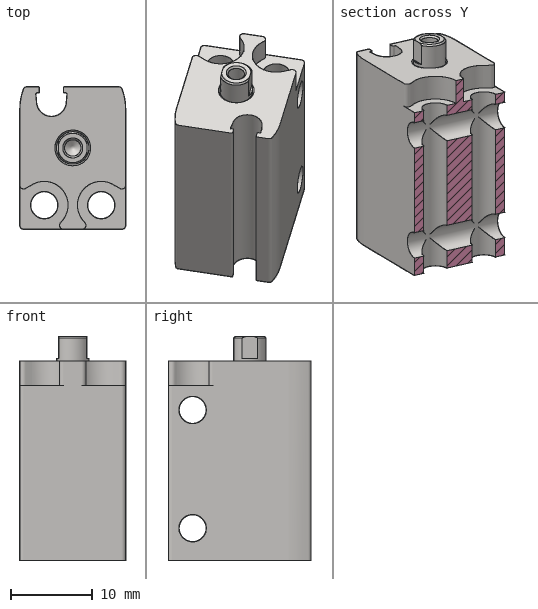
import cadquery as cq
import math

width = 13.0
depth = 17.5
housing_height = 24.5
total_height = 27.5
back_y = 7.5
half_width = width / 2
front_y = back_y - depth
front_corner_radius = 0.5

flank_radius = 7.0
flank_length = 2.75
rear_corner_radius = 0.45

mount_diameter = 3.3
mount_x = 3.5
mount_y = -7.0
cross_hole_heights = (4.0, 18.48)
pocket_radius = 2.92
pocket_depth = 3.0
pocket_edge_radius = 0.5
pocket_flare_angle = math.radians(30)
pocket_neck_angle = math.radians(40)

slot_x = -2.6
slot_opening = 2.95
slot_lip = 0.77
slot_undercut = 3.82
slot_radius = 1.82
slot_floor_y = 3.88
slot_corner_radius = 0.15

rod_diameter = 4.0
rod_flat_width = 3.5
rod_flat_base = housing_height + 0.3
rod_chamfer = 0.2
rod_insertion = 4.0
rod_bottom = housing_height - rod_insertion
bore_mouth_diameter = 4.37
bore_chamfer = (bore_mouth_diameter - rod_diameter) / 2
thread_diameter = 2.0
thread_mouth_diameter = 2.45
thread_depth = 4.0
thread_chamfer = (thread_mouth_diameter - thread_diameter) / 2
drill_half_angle = math.radians(59)


def on_circle(center, radius, angle):
    """Point on a circle at an angle in radians from +X."""
    return (center[0] + radius * math.cos(angle), center[1] + radius * math.sin(angle))


def make_block():
    flank_start = back_y - flank_length
    flank_center = (half_width - flank_radius, flank_start)
    flank_sweep = math.asin(flank_length / flank_radius)
    end_x, end_y = on_circle(flank_center, flank_radius, flank_sweep)
    mid_x, mid_y = on_circle(flank_center, flank_radius, flank_sweep / 2)
    block = (
        cq.Workplane("XY")
        .moveTo(-half_width, front_y)
        .lineTo(half_width, front_y)
        .lineTo(half_width, flank_start)
        .threePointArc((mid_x, mid_y), (end_x, end_y))
        .lineTo(-end_x, end_y)
        .threePointArc((-mid_x, mid_y), (-half_width, flank_start))
        .close()
        .extrude(housing_height)
    )
    block = block.edges("|Z and <Y").fillet(front_corner_radius)
    return block.edges("|Z and >Y").fillet(rear_corner_radius)


def make_left_pocket():
    """Round pocket, open to the left and front, with convex rounded ends."""
    center = (-mount_x, mount_y)
    edge = pocket_edge_radius

    wall_angle = math.pi / 2 + pocket_flare_angle
    flare_start = on_circle(center, pocket_radius, wall_angle)
    side_x = -half_width + edge
    flare_end_x = side_x + edge * math.sin(pocket_flare_angle)
    flare_end_y = flare_start[1] - (flare_start[0] - flare_end_x) * math.tan(pocket_flare_angle)
    side_center = (side_x, flare_end_y + edge * math.cos(pocket_flare_angle))
    side_mid = on_circle(side_center, edge, (math.pi + wall_angle + math.pi) / 2)

    front_center_y = front_y + edge
    wall_end = on_circle(center, pocket_radius, -pocket_neck_angle)
    wall_mid = on_circle(center, pocket_radius, (wall_angle - pocket_neck_angle) / 2)
    neck_end_y = front_center_y + edge * math.sin(pocket_neck_angle)
    neck_end_x = wall_end[0] - (wall_end[1] - neck_end_y) * math.tan(pocket_neck_angle)
    front_center = (neck_end_x + edge * math.cos(pocket_neck_angle), front_center_y)
    front_mid = on_circle(front_center, edge, (math.pi - pocket_neck_angle + 3 * math.pi / 2) / 2)
    return (
        cq.Workplane("XY", origin=(0, 0, housing_height - pocket_depth))
        .moveTo(-half_width, front_y)
        .lineTo(-half_width, side_center[1])
        .threePointArc(side_mid, (flare_end_x, flare_end_y))
        .lineTo(*flare_start)
        .threePointArc(wall_mid, wall_end)
        .lineTo(neck_end_x, neck_end_y)
        .threePointArc(front_mid, (front_center[0], front_y))
        .close()
        .extrude(pocket_depth)
    )


def make_slot():
    """Full-height slot with a round floor and a narrower opening."""
    center_y = slot_floor_y + slot_radius
    lip_y = back_y - slot_lip
    undercut = (
        cq.Workplane("XY")
        .moveTo(slot_x - slot_undercut / 2, lip_y)
        .lineTo(slot_x - slot_radius, center_y)
        .threePointArc((slot_x, slot_floor_y), (slot_x + slot_radius, center_y))
        .lineTo(slot_x + slot_undercut / 2, lip_y)
        .close()
        .extrude(housing_height)
    )
    opening = (
        cq.Workplane("XY")
        .center(slot_x, (center_y + back_y) / 2)
        .rect(slot_opening, back_y - center_y)
        .extrude(housing_height)
    )
    return undercut.union(opening)


def cut_slot(block):
    """Cut the sensor slot and round the corners of its opening, lips and undercut."""
    lip_corners = cq.selectors.BoxSelector(
        (slot_x - slot_radius - slot_lip, back_y - 1.5 * slot_lip, 0),
        (slot_x + slot_radius + slot_lip, back_y + slot_lip, housing_height),
    )
    slotted = block.cut(make_slot())
    return slotted.edges("|Z").edges(lip_corners).fillet(slot_corner_radius)


def make_mount_holes():
    vertical = (
        cq.Workplane("XY")
        .pushPoints([(-mount_x, mount_y), (mount_x, mount_y)])
        .circle(mount_diameter / 2)
        .extrude(housing_height)
    )
    cross = (
        cq.Workplane("YZ", origin=(-half_width, 0, 0))
        .pushPoints([(mount_y, height) for height in cross_hole_heights])
        .circle(mount_diameter / 2)
        .extrude(width)
    )
    return vertical.union(cross)


def make_rod_bore():
    bore = (
        cq.Workplane("XY", origin=(0, 0, rod_bottom))
        .circle(rod_diameter / 2)
        .extrude(rod_insertion)
    )
    mouth = (
        cq.Workplane("XY", origin=(0, 0, housing_height - bore_chamfer))
        .circle(rod_diameter / 2)
        .workplane(offset=bore_chamfer)
        .circle(bore_mouth_diameter / 2)
        .loft()
    )
    return bore.union(mouth)


def make_housing():
    pocket = make_left_pocket()
    return (
        cut_slot(make_block())
        .cut(pocket)
        .cut(pocket.mirror("YZ"))
        .cut(make_mount_holes())
        .cut(make_rod_bore())
    )


def make_thread_hole():
    """Blind hole with a countersunk mouth and a conical drill point."""
    radius = thread_diameter / 2
    floor_z = total_height - thread_depth
    return (
        cq.Workplane("XZ")
        .moveTo(0, total_height)
        .lineTo(thread_mouth_diameter / 2, total_height)
        .lineTo(radius, total_height - thread_chamfer)
        .lineTo(radius, floor_z)
        .lineTo(0, floor_z - radius / math.tan(drill_half_angle))
        .close()
        .revolve(360, (0, 0, 0), (0, 1, 0))
    )


def make_rod():
    rod = (
        cq.Workplane("XY", origin=(0, 0, rod_bottom))
        .circle(rod_diameter / 2)
        .extrude(total_height - rod_bottom)
        .faces(">Z")
        .chamfer(rod_chamfer)
    )
    flats = (
        cq.Workplane("XY", origin=(0, 0, rod_flat_base))
        .rect(2 * rod_diameter, rod_diameter)
        .rect(rod_flat_width, rod_diameter)
        .extrude(total_height - rod_flat_base)
    )
    return rod.cut(flats).cut(make_thread_hole())


housing = make_housing()
rod = make_rod()
result = cq.Compound.makeCompound([housing.solids().val(), rod.solids().val()])